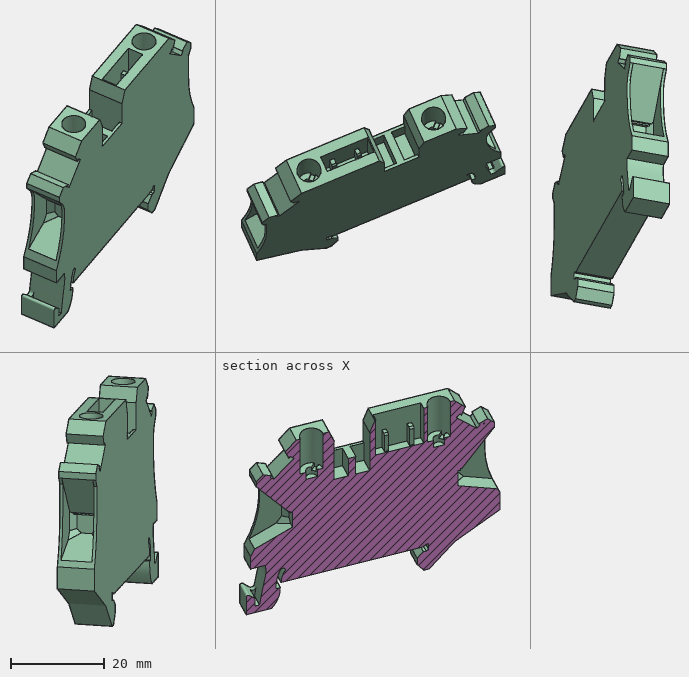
import cadquery as cq

THICKNESS = 8.15
LENGTH = 57.8
TOP_Z = 46.85
HOOK_Y = -29.36
HEEL_Y = HOOK_Y + LENGTH
RAIL_Z = 6.8
CATCH_Z = 5.5
HEEL_WAIST_Y = 26.19
HOOK_WAIST_Y = -25.06
LEDGE_Y = -28.4
LEDGE_Z = 12.85

TROUGH_OUTER_Y = -27.3
TROUGH_INNER_Y = -26.38
TROUGH_FLOOR_Z = 2.0
WEB_THICKNESS = 1.1
WEB_OUTER_Z = 4.1
WEB_INNER_Y = -26.0
WEB_INNER_Z = 4.45

RECESS_FLOOR_Z = 37.8
RECESS_BEVEL_Z = 43.75
RECESS_FRONT_Y = -9.31
RECESS_BACK_Y = -1.31
RECESS_BEVEL = 1.2

SCREW_Y = 14.5
SCREW_BORE_D = 5.1
SCREW_BORE_DEPTH = 10.0
SCREW_HOLE_D = 2.5
SCREW_HOLE_DEPTH = 2.0
SCREW_SLOT_WIDTH = 1.0
SCREW_SLOT_DEPTH = 1.0
SCREW_SLOT_ANGLE = -45.0

PLUG_WIDTH = 3.5
PLUG_Y_MIN = 0.15
PLUG_Y_MAX = 11.0
PLUG_DEPTH = 10.0
RIB_SPANS = ((2.2, 3.1), (7.9, 8.95))
RIB_GAP = 0.5
RIB_TIP_BEVEL = 0.4
RIB_TOP_DEPTH = 5.0

WINDOW_WIDTH = 6.8
BRIDGE_LENGTH = 3.12
BRIDGE_DEPTH = 5.0

ENTRY_MOUTH_Y = 27.95
ENTRY_MOUTH_Z = 18.25
ENTRY_TAPER_Y = 20.05
ENTRY_BACK_Y = 18.85
ENTRY_BACK_WIDTH = 4.2
ENTRY_BACK_FLOOR_Z = 22.05
ENTRY_SLOPE_END_Y = 19.75
ENTRY_LINTEL_Y = 19.4
ENTRY_LINTEL_TOP_Z = 26.65
ENTRY_LINTEL_BOTTOM_Z = 26.25
ENTRY_CORNER = 0.95
ENTRY_CORNER_TOP_Z = 22.72
OVERSHOOT = 3.0

WING_BOTTOM = (27.14, 36.2)
HEAD_SIDE = [
    (27.14, 37.65),
    (25.55, 39.25),
    (23.48, 38.35),
    (23.86, 37.95),
    (23.1, 37.25),
    (18.55, 41.7),
    (19.3, 42.4),
    (19.65, 42.0),
    (20.53, 44.2),
    (18.0, TOP_Z),
]

FOOT = [
    (HEEL_Y, 12.05),
    (18.09, 6.05),
    (12.25, 0),
    (11.05, 0),
    (9.5, 2.2),
    (9.5, 4.1),
    (10.95, CATCH_Z),
    (11.55, CATCH_Z),
    (12.1, 5.8),
    (12.1, 7.35),
    (11.7, 7.35),
    (10.85, RAIL_Z),
]


def housing():
    """Full-thickness body extruded from its YZ outline."""
    hook_side_head = [(-y, z) for y, z in HEAD_SIDE]
    outline = (
        cq.Workplane("YZ")
        .moveTo(-WING_BOTTOM[0], WING_BOTTOM[1])
        .polyline(hook_side_head, includeCurrent=True)
        .lineTo(RECESS_FRONT_Y - RECESS_BEVEL, TOP_Z)
        .lineTo(RECESS_FRONT_Y, RECESS_BEVEL_Z)
        .lineTo(RECESS_FRONT_Y, RECESS_FLOOR_Z)
        .lineTo(RECESS_BACK_Y, RECESS_FLOOR_Z)
        .lineTo(RECESS_BACK_Y, RECESS_BEVEL_Z)
        .lineTo(RECESS_BACK_Y + RECESS_BEVEL, TOP_Z)
        .polyline(HEAD_SIDE[::-1], includeCurrent=True)
        .lineTo(*WING_BOTTOM)
        .lineTo(HEEL_WAIST_Y, 34.6)
        .lineTo(HEEL_WAIST_Y, 28.0)
        .threePointArc((26.75, 22.35), (HEEL_Y, 16.9))
        .polyline(FOOT, includeCurrent=True)
        .lineTo(-21.46, RAIL_Z)
        .threePointArc((-21.24, 8.5), (-20.71, 9.8))
        .threePointArc((-21.0, 10.75), (-21.6, 10.4))
        .threePointArc((-22.3, 8.2), (-22.5, CATCH_Z))
        .lineTo(-21.6, CATCH_Z)
        .threePointArc((-22.2, 2.1), (-23.6, 0))
        .lineTo(HOOK_Y, 0)
        .lineTo(HOOK_Y, 5.2)
        .threePointArc((-29.0, 5.55), (-28.6, 5.4))
        .lineTo(TROUGH_OUTER_Y, WEB_OUTER_Z)
        .lineTo(TROUGH_OUTER_Y, TROUGH_FLOOR_Z)
        .lineTo(TROUGH_INNER_Y, TROUGH_FLOOR_Z)
        .threePointArc((-25.58, 7.0), (-25.1, 9.55))
        .threePointArc((-24.93, 11.3), (-25.1, LEDGE_Z))
        .lineTo(LEDGE_Y, LEDGE_Z)
        .lineTo(LEDGE_Y, 16.55)
        .threePointArc((-26.1, 22.3), (HOOK_WAIST_Y, 29.05))
        .lineTo(HOOK_WAIST_Y, 31.25)
        .threePointArc((-25.45, 33.6), (-26.5, 35.25))
        .close()
    )
    return outline.extrude(THICKNESS / 2, both=True)


def box_between(width, y_min, y_max, z_min, z_max):
    """Box centred on X = 0 that spans the given Y and Z ranges."""
    return cq.Workplane("XY").box(width, y_max - y_min, z_max - z_min).translate(
        (0, (y_min + y_max) / 2, (z_min + z_max) / 2)
    )


def trough_web():
    """Thin web with a rounded floor that fills the lower trough next to the -X face."""
    return (
        cq.Workplane("YZ", origin=(-THICKNESS / 2, 0, 0))
        .moveTo(TROUGH_OUTER_Y, TROUGH_FLOOR_Z)
        .lineTo(TROUGH_OUTER_Y, WEB_OUTER_Z)
        .threePointArc((-26.65, 3.77), (WEB_INNER_Y, WEB_INNER_Z))
        .lineTo(WEB_INNER_Y, TROUGH_FLOOR_Z)
        .close()
        .extrude(WEB_THICKNESS)
    )


def screw_cutter(y):
    """Bore down to a slotted screw head with a centre hole."""
    head_z = TOP_Z - SCREW_BORE_DEPTH
    bore = cq.Workplane("XY", origin=(0, y, head_z)).circle(SCREW_BORE_D / 2).extrude(SCREW_BORE_DEPTH)
    hole = cq.Workplane("XY", origin=(0, y, head_z)).circle(SCREW_HOLE_D / 2).extrude(-SCREW_HOLE_DEPTH)
    slot = (
        cq.Workplane("XY", origin=(0, y, head_z))
        .transformed(rotate=(0, 0, SCREW_SLOT_ANGLE))
        .rect(SCREW_BORE_D, SCREW_SLOT_WIDTH)
        .extrude(-SCREW_SLOT_DEPTH)
        .intersect(bore.translate((0, 0, -SCREW_BORE_DEPTH)))
    )
    return bore.union(hole).union(slot)


def plug_cutter():
    """Test-plug pocket, leaving two pairs of facing ribs with bevelled tips."""
    floor_z = TOP_Z - PLUG_DEPTH
    rib_top_z = TOP_Z - RIB_TOP_DEPTH
    pocket = box_between(PLUG_WIDTH, PLUG_Y_MIN, PLUG_Y_MAX, floor_z, TOP_Z)
    tip_x = RIB_GAP / 2
    wall_x = PLUG_WIDTH / 2
    for y_min, y_max in RIB_SPANS:
        for side in (-1, 1):
            rib = (
                cq.Workplane("XZ", origin=(0, y_max, 0))
                .moveTo(side * wall_x, floor_z)
                .lineTo(side * tip_x, floor_z)
                .lineTo(side * tip_x, rib_top_z - RIB_TIP_BEVEL)
                .lineTo(side * (tip_x + RIB_TIP_BEVEL), rib_top_z)
                .lineTo(side * wall_x, rib_top_z)
                .close()
                .extrude(y_max - y_min)
            )
            pocket = pocket.cut(rib)
    return pocket


def bridge_cutters():
    """Two pockets in the recess floor, each flush with one recess wall."""
    bottom_z = RECESS_FLOOR_Z - BRIDGE_DEPTH
    front = box_between(
        WINDOW_WIDTH, RECESS_FRONT_Y, RECESS_FRONT_Y + BRIDGE_LENGTH, bottom_z, RECESS_FLOOR_Z
    )
    back = box_between(
        WINDOW_WIDTH, RECESS_BACK_Y - BRIDGE_LENGTH, RECESS_BACK_Y, bottom_z, RECESS_FLOOR_Z
    )
    return front.union(back)


def wire_entry_cutter():
    """Wire funnel on the hook side: sloped floor and ceiling, side walls converging to a back wall."""
    floor_slope = (ENTRY_BACK_FLOOR_Z - ENTRY_MOUTH_Z) / (ENTRY_MOUTH_Y - ENTRY_BACK_Y)
    wing_y, wing_z = WING_BOTTOM
    outer_y = ENTRY_MOUTH_Y + OVERSHOOT
    profile = [
        (-outer_y, ENTRY_MOUTH_Z - floor_slope * OVERSHOOT),
        (-ENTRY_BACK_Y, ENTRY_BACK_FLOOR_Z),
        (-ENTRY_BACK_Y, ENTRY_LINTEL_BOTTOM_Z),
        (-ENTRY_LINTEL_Y, ENTRY_LINTEL_BOTTOM_Z),
        (-ENTRY_LINTEL_Y, ENTRY_LINTEL_TOP_Z),
        (-ENTRY_SLOPE_END_Y, ENTRY_LINTEL_TOP_Z),
        (-wing_y, wing_z),
        (-outer_y, wing_z),
    ]
    side_view = cq.Workplane("YZ").polyline(profile).close().extrude(WINDOW_WIDTH / 2, both=True)

    plan = [
        (-WINDOW_WIDTH / 2, -outer_y),
        (WINDOW_WIDTH / 2, -outer_y),
        (WINDOW_WIDTH / 2, -ENTRY_TAPER_Y),
        (ENTRY_BACK_WIDTH / 2, -ENTRY_BACK_Y),
        (-ENTRY_BACK_WIDTH / 2, -ENTRY_BACK_Y),
        (-WINDOW_WIDTH / 2, -ENTRY_TAPER_Y),
    ]
    funnel = side_view.intersect(cq.Workplane("XY").polyline(plan).close().extrude(TOP_Z))
    for side in (-1, 1):
        funnel = funnel.cut(entry_corner(side))
    return funnel


def entry_corner(side):
    """Material beyond the slanted plane that bevels one lower back corner of a wire entry."""
    back_x = ENTRY_BACK_WIDTH / 2
    corner_high = cq.Vector(side * back_x, -ENTRY_BACK_Y, ENTRY_BACK_FLOOR_Z + ENTRY_CORNER)
    corner_low = cq.Vector(side * (back_x - ENTRY_CORNER), -ENTRY_BACK_Y, ENTRY_BACK_FLOOR_Z)
    corner_wall = cq.Vector(side * WINDOW_WIDTH / 2, -ENTRY_TAPER_Y, ENTRY_CORNER_TOP_Z)
    along = corner_high - corner_low
    outward = along.cross(corner_wall - corner_low) * side
    plane = cq.Plane(origin=corner_low, xDir=along, normal=outward)
    return cq.Workplane(plane).rect(TOP_Z, TOP_Z).extrude(THICKNESS)


result = housing().union(trough_web())
result = result.cut(plug_cutter()).cut(bridge_cutters())
for side in (-1, 1):
    result = result.cut(screw_cutter(side * SCREW_Y))
entry = wire_entry_cutter()
result = result.cut(entry).cut(entry.mirror("XZ"))